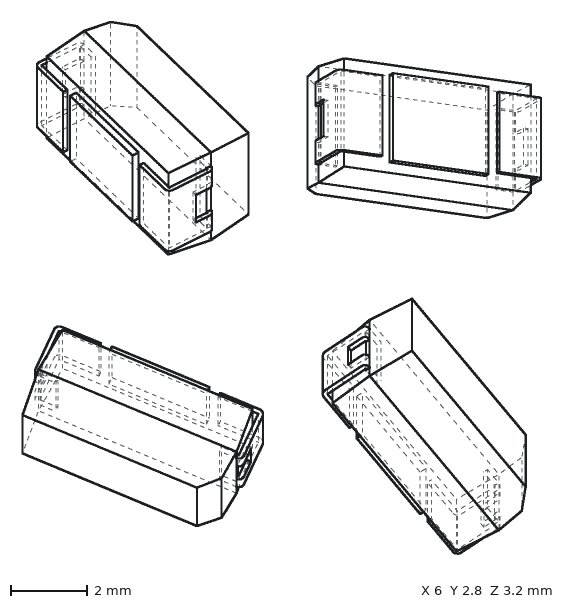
import cadquery as cq
import math

case_length = 5.7
case_height = 3.2
half_depth = 1.3
draft_angle = 5.0
bevel_width = 0.45

overall_length = 6.0
lead_width = 2.2
lead_thickness = 0.13
bend_radius = 0.15
foot_length = 1.285
notch_width = 1.0
notch_depth = 0.6
tongue_depth = 0.5

pad_length = 2.8
pad_height = 2.4
pad_thickness = 0.2

draft_inset = half_depth * math.tan(math.radians(draft_angle))
mount_y = -half_depth - pad_thickness
lead_x = overall_length / 2


def make_case_half(direction):
    """Drafted half of the case, from the seam toward -Y (1) or +Y (-1)."""
    return (
        cq.Workplane("XZ")
        .rect(case_length, case_height)
        .workplane(offset=direction * half_depth)
        .rect(case_length - 2 * draft_inset, case_height - 2 * draft_inset)
        .loft(combine=True)
    )


def make_upper_case():
    """Half at +Y, with its -X end bevelled at 45 degrees as a polarity mark."""
    bevel_x = -case_length / 2 + draft_inset + bevel_width
    bevel_run = 2 * bevel_width
    bevel = (
        cq.Workplane("XY")
        .moveTo(bevel_x, half_depth)
        .lineTo(bevel_x - bevel_run, half_depth)
        .lineTo(bevel_x - bevel_run, half_depth - bevel_run)
        .close()
        .extrude(case_height / 2, both=True)
    )
    return make_case_half(-1).cut(bevel)


def make_lead():
    """Terminal at -X: a tongue held in the case, an upright and a foot under the case.

    The notch stops at the end face of the case, so the tongue is flush with it there.
    """
    outer_x = -lead_x
    inner_x = outer_x + lead_thickness
    tongue_x = -case_length / 2 + tongue_depth
    strip = (
        cq.Workplane("XY")
        .moveTo(tongue_x, 0)
        .lineTo(outer_x + bend_radius, 0)
        .radiusArc((outer_x, -bend_radius), -bend_radius)
        .lineTo(outer_x, mount_y + bend_radius)
        .radiusArc((outer_x + bend_radius, mount_y), -bend_radius)
        .lineTo(outer_x + foot_length, mount_y)
        .lineTo(outer_x + foot_length, mount_y + lead_thickness)
        .lineTo(inner_x, mount_y + lead_thickness)
        .lineTo(inner_x, -lead_thickness)
        .lineTo(tongue_x, -lead_thickness)
        .close()
        .extrude(lead_width / 2, both=True)
    )
    notch = (
        cq.Workplane("XY")
        .rect(tongue_x - outer_x, notch_depth, centered=False)
        .extrude(notch_width / 2, both=True)
        .translate((outer_x, -notch_depth, 0))
        .cut(make_case_half(1))
    )
    return strip.cut(notch)


def make_lower_case(leads):
    """Half at -Y, with a pocket at each end that fits the tongue of a lead."""
    lower = make_case_half(1)
    for lead in leads:
        lower = lower.cut(lead)
    return lower


def make_pad():
    """Flat pad on the -Y face of the case."""
    return (
        cq.Workplane("XZ", origin=(0, -half_depth, 0))
        .rect(pad_length, pad_height)
        .extrude(pad_thickness)
    )


left_lead = make_lead()
leads = [left_lead, left_lead.mirror("YZ")]
upper_case = make_upper_case()
lower_case = make_lower_case(leads)
pad = make_pad()

result = cq.Compound.makeCompound(
    [upper_case.val(), lower_case.val(), pad.val(), *[lead.val() for lead in leads]]
)